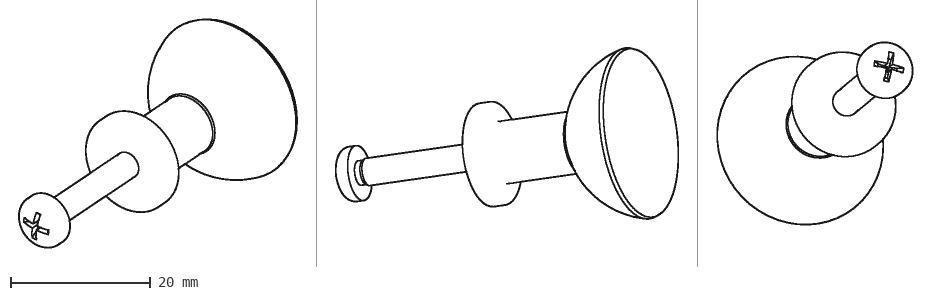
import cadquery as cq
import math


rim_radius = 12.38
stem_radius = 4.5
flange_radius = 7.5
flange_thickness = 2.5
flange_round = 0.45
knob_length = 25.0
rim_height = 0.6
rim_inset = 0.2
cup_start = 15.2
cup_mid_radius = 10.0
cup_mid_y = 19.32
flange_fillet = 0.5
cup_fillet = 0.35

shank_radius = 1.995
neck_radius = 1.8
neck_length = 0.85
neck_taper = 0.45
screw_embedment = 9.6
total_length = 48.05
head_radius = 4.0
head_height = 3.15
head_side_height = 1.2
dome_height = 0.9
dome_edge_radius = 3.25
head_tip_y = knob_length - total_length
head_back_y = head_tip_y + head_height

recess_span = 5.0
recess_width = 0.7
recess_wall_depth = 1.35
recess_floor_span = 2.9
recess_depth = 2.0
recess_turn = 10.0


def revolve_about_y(profile):
    """Close an (X, Y) half profile and turn it around the Y axis."""
    return profile.close().revolve(360, (0, 0, 0), (0, 1, 0))


def make_knob():
    """Flange, stem and flaring cup, with a blind hole for the screw."""
    corner = flange_round * (1 - math.sqrt(0.5))
    rounded_radius = flange_radius - flange_round
    side_top = flange_thickness - flange_round
    fillet_mid = flange_fillet * (1 - math.sqrt(0.5))
    profile = (
        cq.Workplane("XY")
        .lineTo(rounded_radius, 0)
        .threePointArc((flange_radius - corner, corner), (flange_radius, flange_round))
        .lineTo(flange_radius, side_top)
        .threePointArc((flange_radius - corner, flange_thickness - corner), (rounded_radius, flange_thickness))
        .lineTo(stem_radius + flange_fillet, flange_thickness)
        .threePointArc(
            (stem_radius + fillet_mid, flange_thickness + fillet_mid),
            (stem_radius, flange_thickness + flange_fillet),
        )
        .lineTo(stem_radius, cup_start - cup_fillet)
        .lineTo(stem_radius + cup_fillet / 2, cup_start)
        .threePointArc((cup_mid_radius, cup_mid_y), (rim_radius, knob_length - rim_height))
        .lineTo(rim_radius - rim_inset, knob_length)
        .lineTo(0, knob_length)
    )
    hole = cq.Workplane("XZ").circle(shank_radius).extrude(-screw_embedment)
    return revolve_about_y(profile).cut(hole)


def make_recess():
    """Two crossed slots with sloping end walls and a floor that falls to the axis."""
    slot = (
        cq.Workplane("XY")
        .moveTo(-recess_span / 2, head_tip_y)
        .lineTo(recess_span / 2, head_tip_y)
        .lineTo(recess_floor_span / 2, head_tip_y + recess_wall_depth)
        .lineTo(0, head_tip_y + recess_depth)
        .lineTo(-recess_floor_span / 2, head_tip_y + recess_wall_depth)
        .close()
        .extrude(recess_width / 2, both=True)
    )
    crossed_slot = slot.rotate((0, 0, 0), (0, 1, 0), 90)
    return slot.union(crossed_slot).rotate((0, 0, 0), (0, 1, 0), recess_turn)


def make_screw():
    """Shank with an undercut neck and a domed, cross-recessed head."""
    shoulder_y = head_back_y - head_side_height
    dome_edge_y = head_tip_y + dome_height
    neck_end_y = head_back_y + neck_length
    dome_sphere_radius = (dome_edge_radius**2 + dome_height**2) / (2 * dome_height)
    dome_mid_radius = dome_edge_radius / 2
    dome_mid_rise = dome_sphere_radius - math.sqrt(dome_sphere_radius**2 - dome_mid_radius**2)
    profile = (
        cq.Workplane("XY")
        .moveTo(0, head_tip_y)
        .threePointArc((dome_mid_radius, head_tip_y + dome_mid_rise), (dome_edge_radius, dome_edge_y))
        .tangentArcPoint((head_radius, shoulder_y), relative=False)
        .lineTo(head_radius, head_back_y)
        .lineTo(neck_radius, head_back_y)
        .lineTo(neck_radius, neck_end_y)
        .lineTo(shank_radius, neck_end_y + neck_taper)
        .lineTo(shank_radius, screw_embedment)
        .lineTo(0, screw_embedment)
    )
    return revolve_about_y(profile).cut(make_recess())


knob = make_knob()
screw = make_screw()
result = cq.Compound.makeCompound([knob.val(), screw.val()])